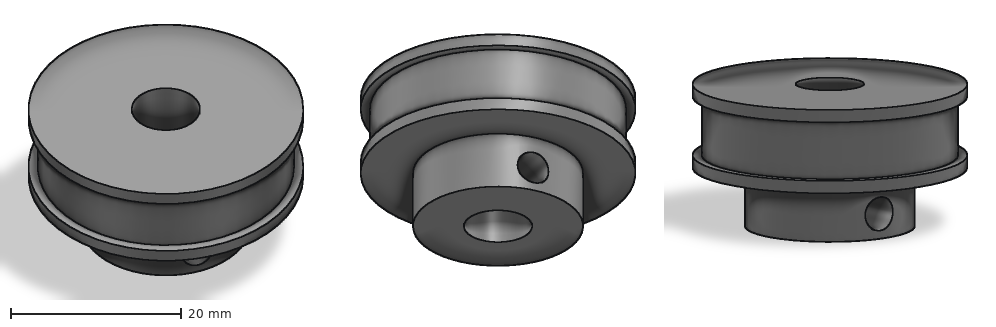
import cadquery as cq

flange_diameter = 32.3
groove_diameter = 30.15
hub_diameter = 20.0
bore_diameter = 8.0
set_screw_diameter = 4.0
flange_thickness = 1.5
groove_width = 7.0
hub_length = 7.0
set_screw_height = 3.0
set_screw_offset = -0.68

lower_flange_base = hub_length
groove_base = lower_flange_base + flange_thickness
upper_flange_base = groove_base + groove_width
total_height = upper_flange_base + flange_thickness


def disc(diameter, base, height):
    """Solid disc on the Z axis, rising from the level base."""
    return cq.Workplane("XY").workplane(offset=base).circle(diameter / 2).extrude(height)


def set_screw_hole():
    """Hole from the bore out through the +X side of the hub, slightly off the centre line."""
    return (
        cq.Workplane("YZ")
        .center(set_screw_offset, set_screw_height)
        .circle(set_screw_diameter / 2)
        .extrude(hub_diameter / 2)
    )


hub = disc(hub_diameter, 0, hub_length)
lower_flange = disc(flange_diameter, lower_flange_base, flange_thickness)
groove_floor = disc(groove_diameter, groove_base, groove_width)
upper_flange = disc(flange_diameter, upper_flange_base, flange_thickness)
bore = disc(bore_diameter, 0, total_height)

pulley = hub.union(lower_flange).union(groove_floor).union(upper_flange)
result = pulley.cut(bore).cut(set_screw_hole())